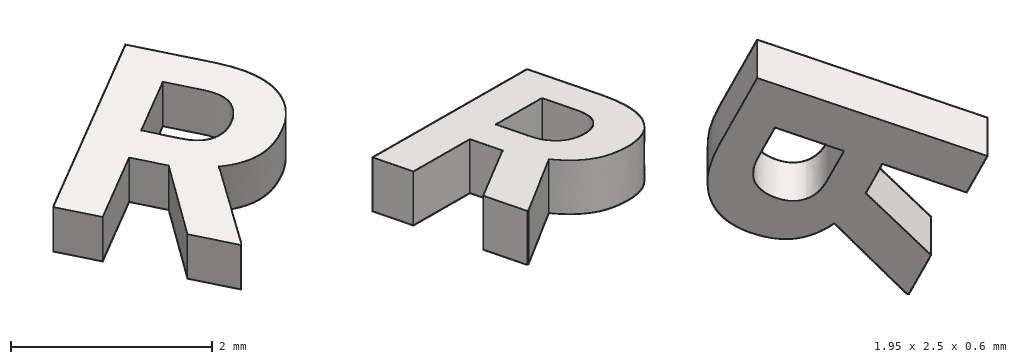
import cadquery as cq

height = 2.5
width = 1.948
thickness = 0.6

stem_width = 0.515
crossbar_bottom = 0.915
crossbar_top = 1.332
top_bar_bottom = 2.08

bowl_start = 0.93
bowl_right = 1.852
bowl_middle = 1.745
window_right = 1.338
window_middle = 1.702

bowl_upper_controls = ((1.372, height), (bowl_right, 2.105))
bowl_lower_controls = ((bowl_right, 1.488), (1.63, 1.148))
window_lower_controls = ((1.125, crossbar_top), (window_right, 1.53))
window_upper_controls = ((window_right, 1.878), (1.14, top_bar_bottom))

leg_inner_top = 0.925
leg_foot_left = 1.395
leg_toe_height = 0.025
leg_joint = (1.408, 1.045)


def smooth_pair(sketch, first_control, second_control, end):
    """Add two quadratic curves that join smoothly midway between their controls."""
    joint = (
        (first_control[0] + second_control[0]) / 2,
        (first_control[1] + second_control[1]) / 2,
    )
    sketch = sketch.bezier([first_control, joint], includeCurrent=True)
    return sketch.bezier([second_control, end], includeCurrent=True)


def letter_body():
    """Solid outline of the letter R, with its lower left corner at the origin."""
    outline = (
        cq.Workplane("XY")
        .lineTo(0, height)
        .lineTo(bowl_start, height)
    )
    outline = smooth_pair(outline, *bowl_upper_controls, (bowl_right, bowl_middle))
    outline = smooth_pair(outline, *bowl_lower_controls, leg_joint)
    outline = (
        outline.lineTo(width, leg_toe_height)
        .lineTo(width, 0)
        .lineTo(leg_foot_left, 0)
        .lineTo(leg_inner_top, crossbar_bottom)
        .lineTo(stem_width, crossbar_bottom)
        .lineTo(stem_width, 0)
        .close()
    )
    return outline.extrude(thickness)


def window():
    """D-shaped opening through the bowl."""
    outline = (
        cq.Workplane("XY")
        .moveTo(stem_width, top_bar_bottom)
        .lineTo(stem_width, crossbar_top)
        .lineTo(bowl_start, crossbar_top)
    )
    outline = smooth_pair(outline, *window_lower_controls, (window_right, window_middle))
    outline = smooth_pair(outline, *window_upper_controls, (bowl_start, top_bar_bottom))
    return outline.close().extrude(thickness)


result = letter_body().cut(window())